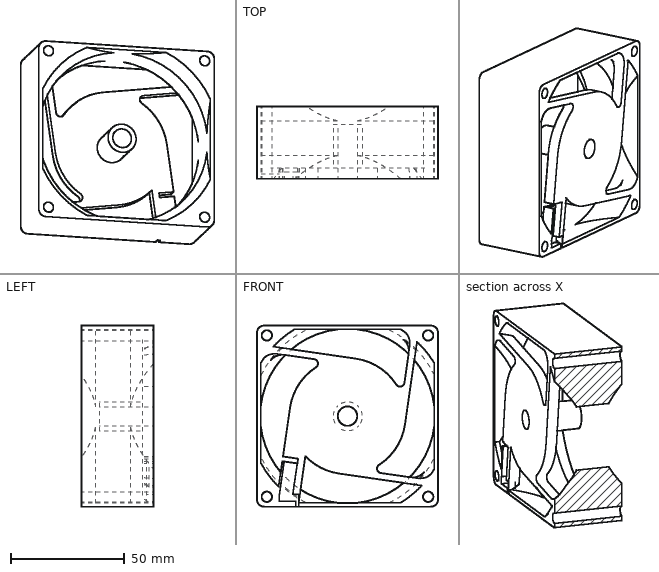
import cadquery as cq
import math

side = 80.2
depth = 32.0
corner_radius = 3.2
screw_spacing = 71.4
screw_hole = 4.5

throat_radius = 38.6
passage_width = 76.7
flare_radius = 45.0
flare_depth = 10.4
rear_flare_radius = 42.4
rear_flare_depth = 6.25

plate_thickness = 5.0
hub_radius = 25.75
arm_width = 3.0
cable_arm_width = 9.9
arm_tilt = 8.2
notch_radius = 1.9
outer_fillet = 5.2
cable_corner_radius = 43.6
shaft_hole = 8.5
tube_radius = 6.4
tube_end = 24.1

channel_depth = 3.2
gap_start = 21.8
gap_height = 2.0
gap_end = gap_start + gap_height
channel_wall = 0.9
channel_rib = 3.1
channel_length = 48.1
foot_left = -30.15
channel_bottom = -37.8
exit_left = -22.9
exit_right = -21.65
exit_top = -34.5


def front_plane(y=0.0):
    """Sketch plane seen from -Y; positive extrusion goes towards -Y."""
    return cq.Workplane("XZ", origin=(0, y, 0))


def cylinder(radius, start, end):
    return front_plane(start).circle(radius).extrude(start - end)


def block(x0, x1, z0, z1, start, end):
    """Box from its X and Z limits, between two depths."""
    return cq.Workplane("XY").box(x1 - x0, end - start, z1 - z0, centered=False).translate((x0, start, z0))


def turn(body, angle):
    """Turn clockwise as seen from the front."""
    return body.rotate((0, 0, 0), (0, 1, 0), angle)


def square_prism(end):
    return front_plane().rect(passage_width, passage_width).extrude(-end)


def passage():
    """Revolved flare, throat and flare, cut off square at the frame walls."""
    profile = [
        (0, 0),
        (flare_radius, 0),
        (throat_radius, flare_depth),
        (throat_radius, depth - rear_flare_depth),
        (rear_flare_radius, depth),
        (0, depth),
    ]
    flow = cq.Workplane("XY").polyline(profile).close().revolve(360, (0, 0, 0), (0, 1, 0))
    return flow.intersect(square_prism(depth))


def arm(quarter, width, end):
    """Arm whose outer side is tangent to the hub."""
    straight = block(hub_radius - width, hub_radius, 0, side, 0, end)
    return turn(straight, arm_tilt + 90 * quarter)


def fillet_at(body, x, z, radius):
    """Round the edge whose middle is nearest to a place halfway through the plate."""
    return body.edges(cq.NearestToPointSelector((x, plate_thickness / 2, z))).fillet(radius)


def polar_on_arm(offset, radius, quarter):
    """Place on a line parallel to an arm at the given distance from the centre."""
    angle = math.acos(offset / radius) - math.radians(arm_tilt + 90 * quarter)
    return radius * math.cos(angle), radius * math.sin(angle)


def plate_openings():
    openings = passage().intersect(square_prism(plate_thickness))
    openings = openings.cut(cylinder(hub_radius, 0, plate_thickness))
    for quarter in range(4):
        width = cable_arm_width if quarter == 2 else arm_width
        openings = openings.cut(arm(quarter, width, plate_thickness))
    mid_radius = flare_radius - (flare_radius - throat_radius) * plate_thickness / 2 / flare_depth
    for quarter in (0, 1, 3):
        inner_side = hub_radius - arm_width
        openings = fillet_at(openings, *polar_on_arm(inner_side, hub_radius, quarter), notch_radius)
        openings = fillet_at(openings, *polar_on_arm(inner_side, mid_radius, quarter), outer_fillet)
    beside_cable_arm = block(-side, -passage_width / 4, -side, -passage_width / 4, 0, plate_thickness)
    corner_land = beside_cable_arm.cut(cylinder(cable_corner_radius, 0, plate_thickness))
    corner_land = corner_land.cut(turn(block(-side, hub_radius, 0, side, 0, plate_thickness), arm_tilt + 180))
    return openings.cut(corner_land)


def cable_cutter():
    """Gap beside the hub, channel down the arm and exit through the frame."""
    inner = hub_radius - cable_arm_width + channel_rib
    outer = hub_radius - channel_wall
    gap = turn(block(inner, hub_radius + 0.8, gap_start, gap_end, 0, plate_thickness), arm_tilt + 180)
    run = turn(block(inner, outer, gap_end, channel_length, 0, channel_depth), arm_tilt + 180)
    run = run.cut(block(-side, side, -side, exit_top, 0, channel_depth))
    foot = block(foot_left, exit_right, channel_bottom, exit_top, 0, channel_depth)
    way_out = block(exit_left, exit_right, -side / 2, channel_bottom, 0, channel_depth)
    return gap.union(run).union(foot).union(way_out)


outline = front_plane().rect(side, side).extrude(-depth).edges("|Y").fillet(corner_radius)
plate = square_prism(plate_thickness).cut(plate_openings())
result = outline.cut(passage()).union(plate)
result = result.union(cylinder(tube_radius, 0, tube_end))
result = result.cut(cylinder(shaft_hole / 2, 0, depth)).cut(cable_cutter())
screw_holes = front_plane().rect(screw_spacing, screw_spacing, forConstruction=True).vertices()
result = result.cut(screw_holes.circle(screw_hole / 2).extrude(-depth))